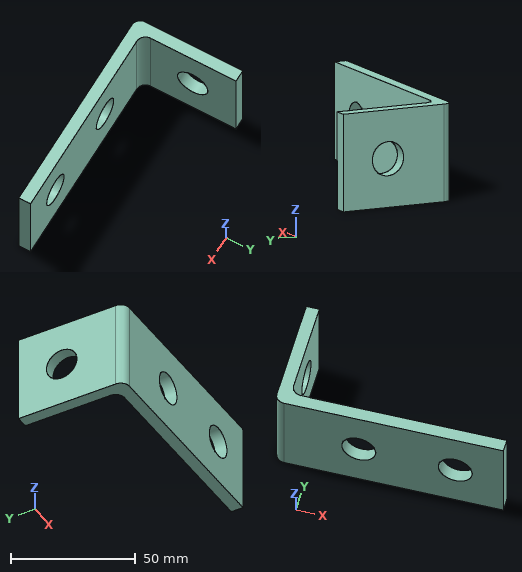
import cadquery as cq

long_leg = 95.0
short_leg = 49.0
width = 40.0
thickness = 5.5

outer_radius = 4.0
inner_radius = 4.0

hole_diameter = 14.0
end_distance = width / 2
hole_spacing = width
hole_height = width / 2


def bent_plate():
    """L-shaped plate with its outer corner at the origin and a rounded bend."""
    plate = (
        cq.Workplane("XY")
        .polyline([
            (0, 0),
            (long_leg, 0),
            (long_leg, thickness),
            (thickness, thickness),
            (thickness, short_leg),
            (0, short_leg),
        ])
        .close()
        .extrude(width)
    )
    outer_corner = cq.selectors.NearestToPointSelector((0, 0, width / 2))
    inner_corner = cq.selectors.NearestToPointSelector((thickness, thickness, width / 2))
    plate = plate.edges(inner_corner).fillet(inner_radius)
    return plate.edges(outer_corner).fillet(outer_radius)


def long_leg_holes():
    """Cutters through the long leg, along Y."""
    end_hole_x = long_leg - end_distance
    return (
        cq.Workplane("XZ")
        .pushPoints([(end_hole_x, hole_height), (end_hole_x - hole_spacing, hole_height)])
        .circle(hole_diameter / 2)
        .extrude(-thickness)
    )


def short_leg_hole():
    """Cutter through the short leg, along X."""
    return (
        cq.Workplane("YZ")
        .center(short_leg - end_distance, hole_height)
        .circle(hole_diameter / 2)
        .extrude(thickness)
    )


result = bent_plate().cut(long_leg_holes()).cut(short_leg_hole())